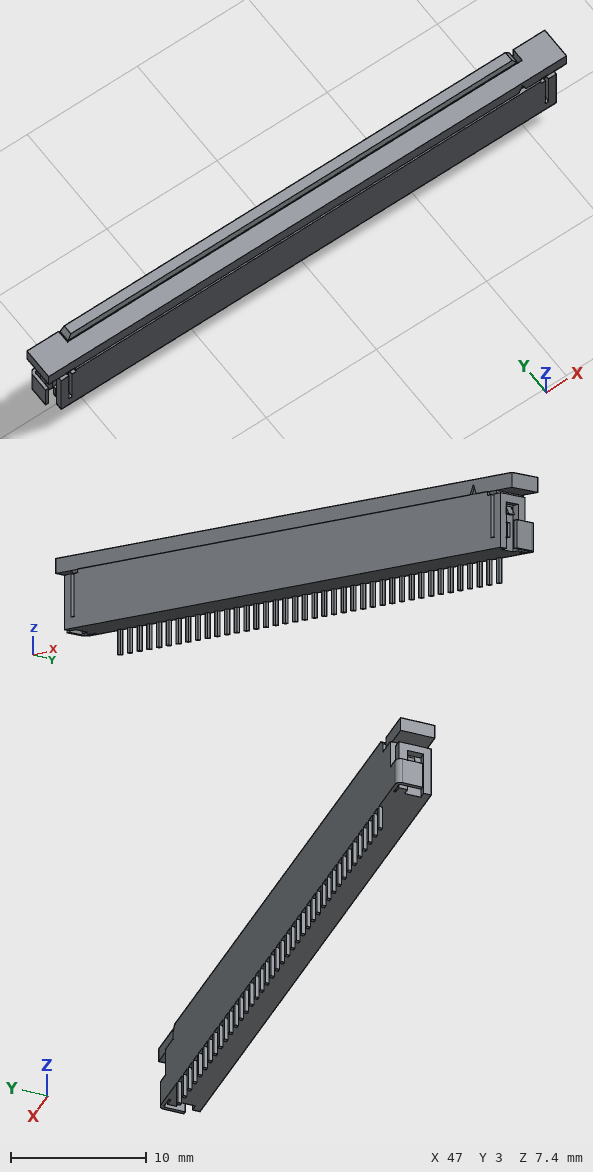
import cadquery as cq


length = 47.0
depth = 3.0
height = 7.4
front_y = -depth / 2
back_y = depth / 2

pin_count = 40
pin_row_length = 39.0
pin_pitch = pin_row_length / (pin_count - 1)
pin_width = 0.3
pin_thickness = 0.3
pin_length = 1.9

lid_height = 1.15
lid_depth = 2.73
lid_bottom = height - lid_height
lid_front = -lid_depth / 2
notch_half_length = 20.65
notch_front = 0.25

body_bottom = pin_length
body_half_length = 22.45
shoulder_z = 5.95
shoulder_back = 1.1
core_half_length = 21.85
front_panel_half_length = 21.1

tongue_half_length = 20.4
tongue_front = 0.5
tongue_slope_x = 0.38
tongue_slope_y = 0.15
tongue_slope_height = 0.4
contact_groove_width = 0.35
contact_groove_front = 0.38
contact_groove_depth = 0.95

latch_x = 21.6
latch_width = 0.3
latch_bottom = 2.73
latch_depth = 0.45
latch_slope_start = 5.4
latch_slope_rise = 0.2
gusset_setback = 0.35

pocket_depth = 0.55
pocket_front = -0.9
pocket_back = 0.38
pocket_top = 5.35
peg_front = -0.38
peg_back = 0.25
peg_bottom = 4.6
peg_top = 5.2
peg_reach = 0.3
barb_front = -0.8
barb_back = -0.5
barb_bottom = 2.75
barb_top = 3.85

tab_outer_x = 23.15
tab_thickness = 0.3
tab_bend_radius = 0.4
tab_front = -0.5
tab_top = 4.0

mark_half_width = 0.35
mark_height = 0.7
mark_depth = 0.2


def box(x0, x1, y0, y1, z0, z1):
    """Block between two opposite corners."""
    return cq.Workplane("XY").box(x1 - x0, y1 - y0, z1 - z0, centered=False).translate((x0, y0, z0))


def centred_box(half_length, y0, y1, z0, z1):
    """Block symmetric about the YZ plane."""
    return box(-half_length, half_length, y0, y1, z0, z1)


def side_prism(points, x0, x1):
    """Prism along X from an outline of (y, z) points."""
    return cq.Workplane("YZ").polyline(points).close().extrude(x1 - x0).translate((x0, 0, 0))


def both_ends(left):
    """A left-end feature together with its mirror image at the right end."""
    return left.union(left.mirror("YZ"))


def pin_positions():
    """X positions of the pin centres."""
    first = -pin_row_length / 2
    return [first + i * pin_pitch for i in range(pin_count)]


def make_housing():
    """Long block with lower, set-back shoulders at both ends."""
    shoulders = centred_box(body_half_length, front_y, shoulder_back, body_bottom, shoulder_z)
    core = centred_box(core_half_length, front_y, back_y, body_bottom, shoulder_z)
    panel = centred_box(front_panel_half_length, front_y, back_y, shoulder_z, lid_bottom)
    return shoulders.union(core).union(panel)


def make_end_gusset():
    """Rib under the left end of the lid, leaning back towards the shoulder."""
    outline = [
        (lid_front, lid_bottom),
        (front_y + gusset_setback, shoulder_z),
        (back_y, shoulder_z),
        (back_y, lid_bottom),
    ]
    return side_prism(outline, -core_half_length, -front_panel_half_length)


def make_latch_slot():
    """Narrow slot in the front face whose floor leans forward near the top."""
    floor_y = front_y + latch_depth
    outline = [
        (front_y, latch_bottom),
        (floor_y, latch_bottom + latch_slope_rise),
        (floor_y, latch_slope_start),
        (floor_y - latch_slope_rise, shoulder_z),
        (front_y, shoulder_z),
    ]
    return side_prism(outline, -latch_x - latch_width / 2, -latch_x + latch_width / 2)


def make_end_pocket():
    """Pocket in the left end face, open at the bottom."""
    floor_x = -body_half_length + pocket_depth
    return box(-body_half_length, floor_x, pocket_front, pocket_back, body_bottom, pocket_top)


def make_peg():
    """Wedge on the pocket floor that stands out further towards its bottom."""
    floor_x = -body_half_length + pocket_depth
    outline = [
        (floor_x, peg_bottom),
        (floor_x - peg_reach, peg_bottom),
        (floor_x, peg_top),
    ]
    wedge = cq.Workplane("XZ").polyline(outline).close().extrude(peg_front - peg_back)
    return wedge.translate((0, peg_front, 0))


def make_barb():
    """Short retaining barb in the pocket of the left end face."""
    floor_x = -body_half_length + pocket_depth
    return box(-body_half_length, floor_x, barb_front, barb_back, barb_bottom, barb_top)


def make_solder_tab():
    """L-shaped metal tab wrapped around the back corner of the left end."""
    outer = box(-tab_outer_x, -core_half_length, tab_front, back_y, body_bottom, tab_top)
    inner = box(
        -tab_outer_x + tab_thickness, -core_half_length,
        tab_front, back_y - tab_thickness, body_bottom, tab_top,
    )
    outer = outer.edges("|Z and <X and >Y").fillet(tab_bend_radius)
    inner = inner.edges("|Z and <X and >Y").fillet(tab_bend_radius - tab_thickness)
    return outer.cut(inner)


def make_lid():
    """Lid bar with a long notch at the back and a triangular pin 1 mark."""
    lid = centred_box(length / 2, lid_front, -lid_front, lid_bottom, height)
    notch = centred_box(notch_half_length, notch_front, -lid_front, lid_bottom, height)
    mark_x = pin_positions()[-1]
    mark = (
        cq.Workplane("XZ", origin=(mark_x, lid_front, lid_bottom))
        .polyline([(-mark_half_width, 0), (mark_half_width, 0), (0, mark_height)])
        .close()
        .extrude(-mark_depth)
    )
    return lid.cut(notch).cut(mark)


def make_tongue():
    """Upright tongue with sloped upper edges at its front and both ends."""
    tongue = centred_box(tongue_half_length, tongue_front, back_y, lid_bottom, height)
    slope_bottom = height - tongue_slope_height
    front_slope = side_prism(
        [(tongue_front, slope_bottom), (tongue_front, height), (tongue_front + tongue_slope_y, height)],
        -tongue_half_length, tongue_half_length,
    )
    end_slope = (
        cq.Workplane("XZ", origin=(-tongue_half_length, back_y, slope_bottom))
        .polyline([(0, 0), (0, tongue_slope_height), (tongue_slope_x, tongue_slope_height)])
        .close()
        .extrude(depth)
    )
    return tongue.cut(front_slope).cut(both_ends(end_slope))


def make_pin(x):
    """Straight pin below the back of the housing."""
    return box(x - pin_width / 2, x + pin_width / 2, back_y - pin_thickness, back_y, 0, body_bottom)


def make_contact_groove(x):
    """Blind groove in the floor of the cable opening, in line with a pin."""
    half_width = contact_groove_width / 2
    floor_z = lid_bottom - contact_groove_depth
    return box(x - half_width, x + half_width, contact_groove_front, tongue_front, floor_z, lid_bottom)


housing = make_housing().union(both_ends(make_end_gusset()))
housing = housing.cut(both_ends(make_latch_slot())).cut(both_ends(make_end_pocket()))
for end_feature in (make_peg(), make_barb(), make_solder_tab()):
    housing = housing.union(both_ends(end_feature))
for x in pin_positions():
    housing = housing.cut(make_contact_groove(x)).union(make_pin(x))

result = housing.union(make_lid()).union(make_tongue())